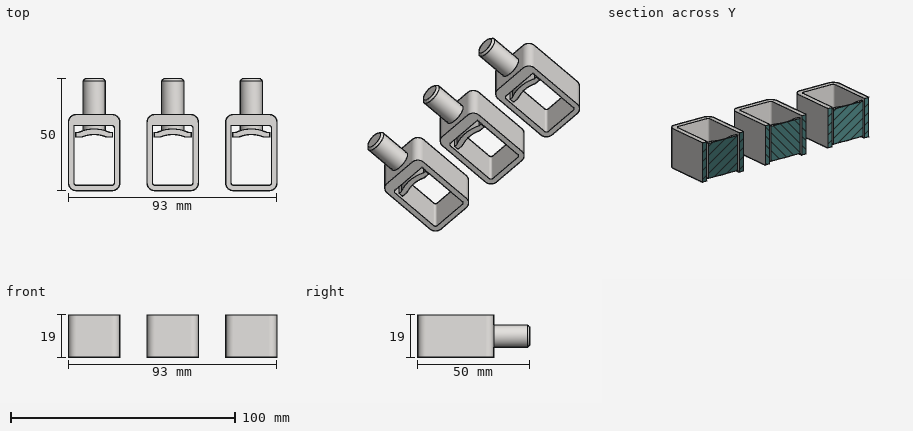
import cadquery as cq

overall_width = 93.0
clamp_count = 3

frame_width = 23.0
frame_length = 34.0
frame_height = 19.0
frame_corner_radius = 3.5
wall = 2.5
screw_wall = 5.0
window_corner_radius = 1.0

screw_diameter = 10.0
screw_protrusion = 16.0
screw_chamfer = 1.0

plate_width = 16.6
plate_end_thickness = 2.1
plate_inset = 1.0
plate_gap = 5.1
rear_arch_width = 13.95
rear_arch_rise = 1.5
front_arch_width = 11.0
front_arch_rise = 1.1

pitch = (overall_width - frame_width) / (clamp_count - 1)
window_width = frame_width - 2 * wall
window_length = frame_length - wall - screw_wall
window_rear = frame_length - screw_wall
plate_front = window_rear - plate_gap
plate_rear = plate_front + plate_end_thickness
screw_tip = frame_length + screw_protrusion


def make_frame():
    outer = (
        cq.Workplane("XY")
        .center(0, frame_length / 2)
        .rect(frame_width, frame_length)
        .extrude(frame_height)
        .edges("|Z")
        .fillet(frame_corner_radius)
    )
    window = (
        cq.Workplane("XY")
        .center(0, wall + window_length / 2)
        .rect(window_width, window_length)
        .extrude(frame_height)
        .edges("|Z exc <(1, -1, 0)")
        .fillet(window_corner_radius)
    )
    return outer.cut(window)


def make_plate():
    return (
        cq.Workplane("XY", origin=(0, 0, plate_inset))
        .moveTo(-plate_width / 2, plate_front)
        .lineTo(-front_arch_width / 2, plate_front)
        .threePointArc((0, plate_front + front_arch_rise), (front_arch_width / 2, plate_front))
        .lineTo(plate_width / 2, plate_front)
        .lineTo(plate_width / 2, plate_rear)
        .lineTo(rear_arch_width / 2, plate_rear)
        .threePointArc((0, plate_rear + rear_arch_rise), (-rear_arch_width / 2, plate_rear))
        .lineTo(-plate_width / 2, plate_rear)
        .close()
        .extrude(frame_height - 2 * plate_inset)
    )


def make_screw():
    """Plain round screw along Y, chamfered at its outer tip and rooted inside the plate arch."""
    root = plate_front + front_arch_rise
    return (
        cq.Workplane("XZ", origin=(0, screw_tip, frame_height / 2))
        .circle(screw_diameter / 2)
        .extrude(screw_tip - root)
        .faces(">Y")
        .chamfer(screw_chamfer)
    )


def make_clamp(centre_x):
    clamp = make_frame().union(make_plate()).union(make_screw())
    return clamp.translate((centre_x, 0, 0))


clamps = []
for index in range(clamp_count):
    centre_x = (index - (clamp_count - 1) / 2) * pitch
    clamps.append(make_clamp(centre_x).val())

result = cq.Compound.makeCompound(clamps)